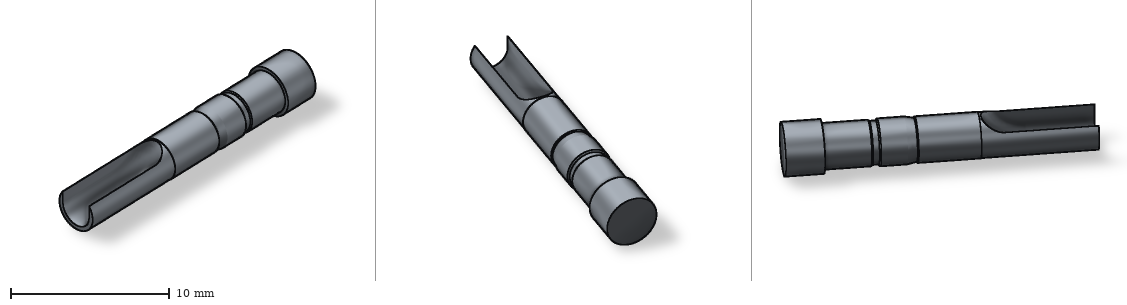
import cadquery as cq

length = 20.0
tip_y = -length / 2
head_y = length / 2

head_diameter = 3.5
head_length = 2.5
shaft_diameter = 2.98
tip_diameter = 2.95
tip_length = 7.5

groove_diameter = 2.82
band_diameter = 3.05
groove_start = 5.5
groove_wall_run = 0.1
groove_end = 6.0
band_start = 6.1
band_end = 7.8
taper_end = 8.42
rear_shaft_start = 8.5

channel_width = 2.3
channel_radius = channel_width / 2
runout_start = 15.6
runout_radius = 3.0
cutter_clearance = 4.0

full_turn = 360
half_turn = full_turn / 2


def along(distance):
    """Y position at a distance from the head's end face."""
    return head_y - distance


def turned_body():
    """Solid of revolution with head, shaft, grooves and band."""
    outline = [
        (0, head_y),
        (head_diameter / 2, head_y),
        (head_diameter / 2, along(head_length)),
        (shaft_diameter / 2, along(head_length)),
        (shaft_diameter / 2, along(groove_start)),
        (groove_diameter / 2, along(groove_start + groove_wall_run)),
        (groove_diameter / 2, along(groove_end)),
        (band_diameter / 2, along(band_start)),
        (band_diameter / 2, along(band_end)),
        (groove_diameter / 2, along(taper_end)),
        (shaft_diameter / 2, along(rear_shaft_start)),
        (shaft_diameter / 2, tip_y + tip_length),
        (tip_diameter / 2, tip_y + tip_length),
        (tip_diameter / 2, tip_y),
        (0, tip_y),
    ]
    return cq.Workplane("XY").polyline(outline).close().revolve(full_turn, (0, 0, 0), (0, 1, 0))


def channel_section(plane, top):
    """U-shaped section in an XZ plane: round bottom on the pin axis, straight walls up to top."""
    return (
        plane.moveTo(-channel_radius, top)
        .lineTo(-channel_radius, 0)
        .threePointArc((0, -channel_radius), (channel_radius, 0))
        .lineTo(channel_radius, top)
        .close()
    )


def scoop():
    """Straight channel from the tip, ending in a run-out swung upwards about an X axis."""
    runout_y = along(runout_start)
    pivot_height = runout_radius - channel_radius
    plane = cq.Workplane("XZ", origin=(0, runout_y, 0))
    straight = channel_section(plane, pivot_height).extrude(cutter_clearance + runout_y - tip_y)
    runout = channel_section(plane, pivot_height).revolve(
        half_turn, (-channel_radius, pivot_height), (channel_radius, pivot_height)
    )
    return straight.union(runout)


result = turned_body().cut(scoop())